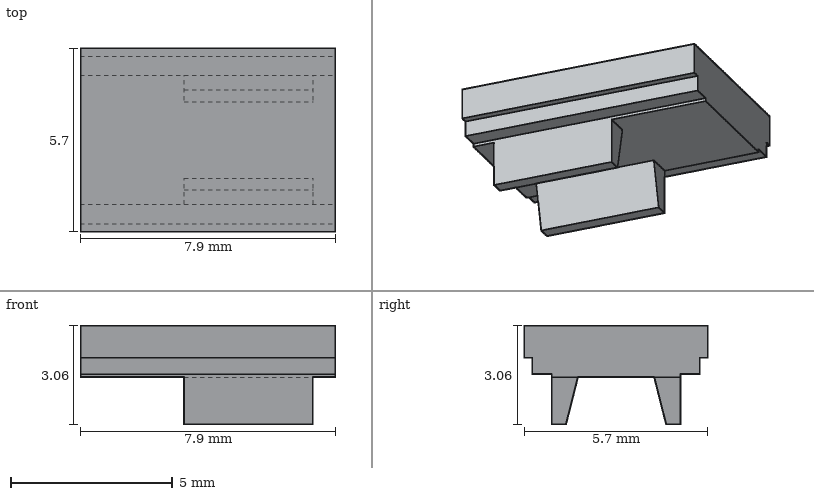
import cadquery as cq

length = 7.9
top_width = 5.7
step_width = 5.2
base_width = 4.0
top_height = 1.0
step_height = 0.5
base_height = 0.1

leg_length = 4.0
leg_end_gap = 0.7
leg_height = 1.46
leg_root_thickness = 0.82
leg_tip_thickness = 0.45

base_bottom = leg_height
step_bottom = base_bottom + base_height
top_bottom = step_bottom + step_height


def slab(width, height, bottom):
    """Full-length slab centred in X and Y, standing on the given level."""
    return (
        cq.Workplane("XY")
        .box(length, width, height, centered=(True, True, False))
        .translate((0, 0, bottom))
    )


def leg(side):
    """Rail with a vertical outer face and a sloping inner face; side is -1 or +1 along Y."""
    outer = base_width / 2
    leg_start = length / 2 - leg_end_gap - leg_length
    profile = [
        (side * outer, 0),
        (side * outer, leg_height),
        (side * (outer - leg_root_thickness), leg_height),
        (side * (outer - leg_tip_thickness), 0),
    ]
    return (
        cq.Workplane("YZ", origin=(leg_start, 0, 0))
        .polyline(profile)
        .close()
        .extrude(leg_length)
    )


result = slab(base_width, base_height, base_bottom)
result = result.union(slab(step_width, step_height, step_bottom))
result = result.union(slab(top_width, top_height, top_bottom))
for side in (-1, 1):
    result = result.union(leg(side))